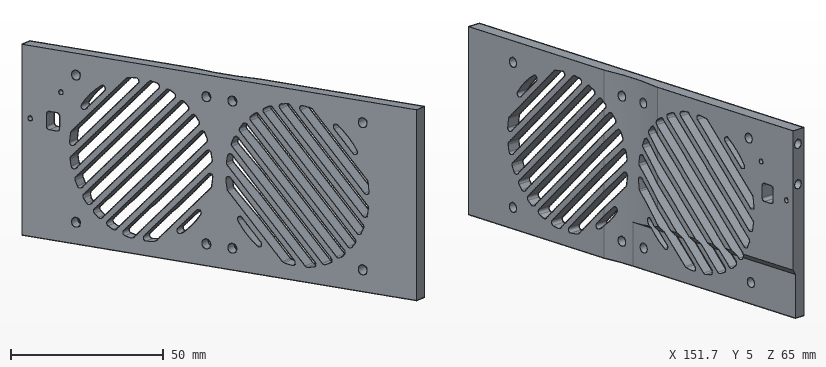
import cadquery as cq

length = 151.7
thickness = 5.0
height = 65.0
left_x = -length / 2
bottom_z = -height / 2
back_y = thickness / 2

fan_spacing = 60.0
grille_diameter = 55.0
slot_count = 10
slot_span = 54.0
slot_pitch = slot_span / (slot_count - 1)
slot_width = 4.0
slot_tilt = 45
slot_corner_radius = 1.0

mount_hole_pitch = 50.0
mount_hole_diameter = 3.3

window_width = 5.0
window_height = 6.2
window_x = -63.9
window_z = 8.0
window_corner_radius = 1.0
screw_hole_diameter = 1.7
screw_hole_centers = [(-72.7, 7.7), (-60.8, 18.4)]

end_hole_diameter = 3.0
end_hole_depth = 10.0
end_hole_y = 0.3
end_hole_heights = [13.5, 27.5]

channel_depth = 1.0
hollow_half_width = 12.5
trough_top_z = -15.6
trough_rim_height = 1.7


def back_plane(x=0, z=0):
    """Plane on the back face, X right and Z up, extruding towards the front."""
    return cq.Workplane("XZ", origin=(x, back_y, z))


def grille_slots(center_x, tilt):
    """Parallel tilted slots trimmed by a disc, with rounded corners."""
    disc = back_plane(center_x).circle(grille_diameter / 2).extrude(thickness)
    bars = (
        back_plane(center_x)
        .transformed(rotate=(0, 0, tilt))
        .rarray(1.5, slot_pitch, 1, slot_count)
        .rect(2 * grille_diameter, slot_width)
        .extrude(thickness)
    )
    return disc.intersect(bars).edges("|Y").fillet(slot_corner_radius)


def mount_holes(center_x):
    return (
        back_plane(center_x)
        .rect(mount_hole_pitch, mount_hole_pitch, forConstruction=True)
        .vertices()
        .circle(mount_hole_diameter / 2)
        .extrude(thickness)
    )


def window():
    return (
        back_plane(window_x, window_z)
        .rect(window_width, window_height)
        .extrude(thickness)
        .edges("|Y")
        .fillet(window_corner_radius)
    )


def screw_holes():
    return back_plane().pushPoints(screw_hole_centers).circle(screw_hole_diameter / 2).extrude(thickness)


def end_holes():
    return (
        cq.Workplane("YZ", origin=(left_x, 0, 0))
        .pushPoints([(end_hole_y, z) for z in end_hole_heights])
        .circle(end_hole_diameter / 2)
        .extrude(end_hole_depth)
    )


def upright_hollow():
    """Arc-shaped hollow over the full height."""
    return (
        cq.Workplane("XY", origin=(0, 0, bottom_z))
        .moveTo(-hollow_half_width, back_y)
        .threePointArc((0, back_y - channel_depth), (hollow_half_width, back_y))
        .close()
        .extrude(height)
    )


def side_trough():
    """Trough along the bottom edge, with a sloped rim, from the left end to the hollow."""
    floor_y = back_y - channel_depth
    return (
        cq.Workplane("YZ", origin=(left_x, 0, 0))
        .moveTo(back_y, bottom_z)
        .lineTo(floor_y, bottom_z)
        .lineTo(floor_y, trough_top_z - trough_rim_height)
        .lineTo(back_y, trough_top_z)
        .close()
        .extrude(length / 2)
    )


result = cq.Workplane("XY").box(length, thickness, height)
for side in (-1, 1):
    fan_x = side * fan_spacing / 2
    result = result.cut(grille_slots(fan_x, -side * slot_tilt)).cut(mount_holes(fan_x))
result = result.cut(window()).cut(screw_holes()).cut(end_holes())
result = result.cut(upright_hollow()).cut(side_trough())